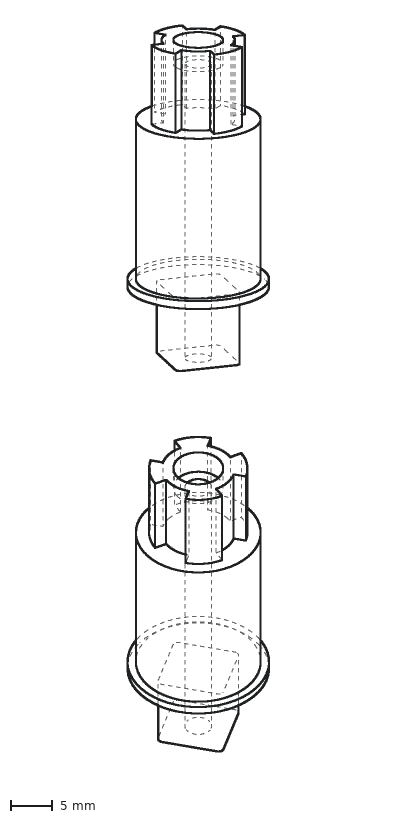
import cadquery as cq
import math

square_side = 8.12
square_height = 9.0
square_corner_radius = 0.65

flange_diameter = 17.0
flange_height = 1.0
body_diameter = 15.0
body_height = 20.2

total_height = 40.2
hub_diameter = 8.8
tooth_tip_diameter = 11.8
tooth_count = 4
tooth_angle = 44.0
tooth_pitch_angle = 360 / tooth_count

bore_diameter = 3.2
counterbore_diameter = 6.0
counterbore_depth = 3.0

flange_bottom = square_height
body_bottom = flange_bottom + flange_height
hub_bottom = body_bottom + body_height
hub_height = total_height - hub_bottom


def cylinder(diameter, height, bottom):
    return cq.Workplane("XY", origin=(0, 0, bottom)).circle(diameter / 2).extrude(height)


def make_tooth(start_angle):
    """Sector running counter-clockwise from start_angle, reaching in to the axis."""

    def tip_point(angle):
        tip_radius = tooth_tip_diameter / 2
        angle_rad = math.radians(angle)
        return (tip_radius * math.cos(angle_rad), tip_radius * math.sin(angle_rad))

    return (
        cq.Workplane("XY", origin=(0, 0, hub_bottom))
        .lineTo(*tip_point(start_angle))
        .threePointArc(tip_point(start_angle + tooth_angle / 2), tip_point(start_angle + tooth_angle))
        .close()
        .extrude(hub_height)
    )


square_drive = (
    cq.Workplane("XY")
    .rect(square_side, square_side)
    .extrude(square_height)
    .edges("|Z")
    .fillet(square_corner_radius)
)

part = (
    square_drive
    .union(cylinder(flange_diameter, flange_height, flange_bottom))
    .union(cylinder(body_diameter, body_height, body_bottom))
    .union(cylinder(hub_diameter, hub_height, hub_bottom))
)

for index in range(tooth_count):
    part = part.union(make_tooth(index * tooth_pitch_angle))

part = part.cut(cylinder(bore_diameter, total_height, 0))
part = part.cut(cylinder(counterbore_diameter, counterbore_depth, total_height - counterbore_depth))

result = part